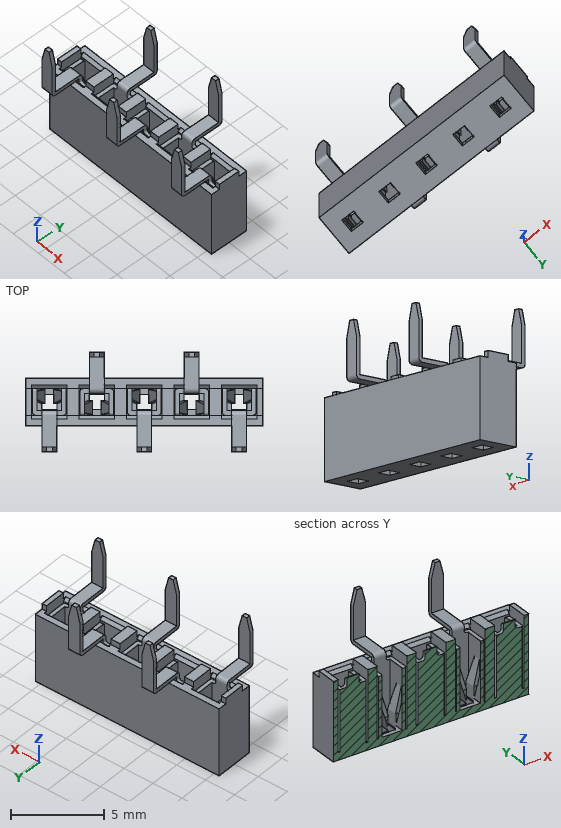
import cadquery as cq
import math

contact_count = 5
pitch = 2.54

body_length = contact_count * pitch
body_width = 2.57
body_height = 4.62
floor_thickness = 0.51

cavity_length = 1.9
cavity_width = 1.42
lead_in = 0.19
pin_hole = 0.8

ridge_height = 0.38

sheet = 0.25
channel_length = 1.8
channel_recess = 0.25
channel_top = body_height - channel_recess
channel_corner = 0.17
end_rounding = 0.13
back_y = -cavity_width / 2
back_inner_y = back_y + sheet

tine_top = 3.18
tine_reach = 0.42
tine_drop = 1.52
tine_height = 0.89
tine_root_overlap = 0.06
tine_top_near_y = 0.13
tine_low_near_y = -0.08
tine_top_far_y = 0.58
tine_low_far_y = 0.66

lead_width = 0.8
lead_clearance = 0.08
lead_bottom = body_height + lead_clearance
lead_top = lead_bottom + sheet
lead_reach = 2.67
neck_fillet = 0.15
pin_top = 8.0
pin_tip_width = 0.32
pin_taper = 0.95

contact_places = [(i - (contact_count - 1) / 2) * pitch for i in range(contact_count)]


def block(length, width, bottom, top):
    """Box centred on X and Y between two heights."""
    return cq.Workplane("XY").workplane(offset=bottom).rect(length, width).extrude(top - bottom)


def make_cavity():
    """Cavity with sloped lead-ins along both long sides and a pin hole in its floor."""
    pocket = block(cavity_length, cavity_width, floor_thickness, body_height + ridge_height)
    mouth_half = cavity_width / 2 + lead_in
    mouth = (
        cq.Workplane("YZ")
        .moveTo(-mouth_half, body_height)
        .lineTo(-cavity_width / 2, body_height - lead_in)
        .lineTo(cavity_width / 2, body_height - lead_in)
        .lineTo(mouth_half, body_height)
        .close()
        .extrude(cavity_length / 2, both=True)
    )
    return pocket.union(mouth).union(block(pin_hole, pin_hole, 0, floor_thickness))


def make_housing():
    """Block with a raised middle strip, which the cavities cut into ridges."""
    housing = block(body_length, body_width, 0, body_height)
    housing = housing.union(block(body_length, cavity_width, body_height, body_height + ridge_height))
    cavity = make_cavity()
    for x in contact_places:
        housing = housing.cut(cavity.translate((x, 0, 0)))
    return housing


def make_channel():
    """U channel open towards +Y, with rounded back corners and rounded arm ends."""
    channel = block(channel_length, cavity_width, floor_thickness, channel_top)
    channel = channel.edges("|Z and <Y").fillet(channel_corner)
    channel = channel.edges(">Y and >Z").fillet(end_rounding)
    inside = block(channel_length - 2 * sheet, cavity_width, floor_thickness, channel_top)
    return channel.cut(inside.translate((0, sheet, 0)))


def make_tine():
    """Tine leaning in from the -X arm, widening downwards."""
    arm_x = -channel_length / 2 + sheet
    root_x = arm_x - tine_root_overlap
    root_rise = tine_root_overlap * tine_drop / tine_reach
    tip_x = arm_x + tine_reach
    tip_z = tine_top - tine_drop
    slope = (
        cq.Workplane("XZ")
        .moveTo(root_x, tine_top + root_rise)
        .lineTo(tip_x, tip_z)
        .lineTo(tip_x, tip_z - tine_height)
        .lineTo(root_x, tine_top + root_rise - tine_height)
        .close()
        .extrude(cavity_width / 2, both=True)
    )
    outline = (
        cq.Workplane("YZ")
        .moveTo(tine_top_near_y, tine_top)
        .lineTo(tine_top_far_y, tine_top)
        .lineTo(tine_low_far_y, tip_z)
        .lineTo(tine_low_far_y, tip_z - tine_height)
        .lineTo(tine_low_near_y, tip_z - tine_height)
        .lineTo(tine_low_near_y, tip_z)
        .close()
        .extrude(channel_length / 2, both=True)
    )
    return slope.intersect(outline)


def make_lead():
    """Bent strip from the channel back out to -Y and up to the pin tip.

    Both bends have a sharp inner corner and an outer radius of one sheet thickness.
    """
    foot_inner_y = -lead_reach + sheet
    arc_middle = sheet * math.sqrt(0.5)
    strip = (
        cq.Workplane("YZ")
        .moveTo(back_y, channel_top)
        .lineTo(back_inner_y, channel_top)
        .lineTo(back_inner_y, lead_bottom)
        .threePointArc((back_y + arc_middle, lead_bottom + arc_middle), (back_y, lead_top))
        .lineTo(foot_inner_y, lead_top)
        .lineTo(foot_inner_y, pin_top)
        .lineTo(-lead_reach, pin_top)
        .lineTo(-lead_reach, lead_top)
        .threePointArc((foot_inner_y - arc_middle, lead_top - arc_middle), (foot_inner_y, lead_bottom))
        .lineTo(back_y, lead_bottom)
        .close()
        .extrude(lead_width / 2, both=True)
    )
    taper_z = pin_top - pin_taper
    front_outline = (
        cq.Workplane("XZ")
        .moveTo(-lead_width / 2, channel_top)
        .lineTo(lead_width / 2, channel_top)
        .lineTo(lead_width / 2, taper_z)
        .lineTo(pin_tip_width / 2, pin_top)
        .lineTo(-pin_tip_width / 2, pin_top)
        .lineTo(-lead_width / 2, taper_z)
        .close()
        .extrude(lead_reach)
    )
    return strip.intersect(front_outline)


def make_neck_fillet():
    """Concave fillet between the top of the channel back and the +X side of the neck."""
    side_x = lead_width / 2
    arc_middle = neck_fillet * (1 - math.sqrt(0.5))
    return (
        cq.Workplane("XZ", origin=(0, back_inner_y, 0))
        .moveTo(side_x, channel_top)
        .lineTo(side_x + neck_fillet, channel_top)
        .threePointArc((side_x + arc_middle, channel_top + arc_middle), (side_x, channel_top + neck_fillet))
        .close()
        .extrude(sheet)
    )


def make_contact():
    """Complete contact with its lead towards -Y."""
    contact = make_channel().union(make_lead())
    for feature in (make_tine(), make_neck_fillet()):
        contact = contact.union(feature).union(feature.mirror("YZ"))
    return contact


contact = make_contact()
result = make_housing()
for i, x in enumerate(contact_places):
    turn = 180 * (i % 2)
    placed = contact.rotate((0, 0, 0), (0, 0, 1), turn).translate((x, 0, 0))
    result = result.union(placed)